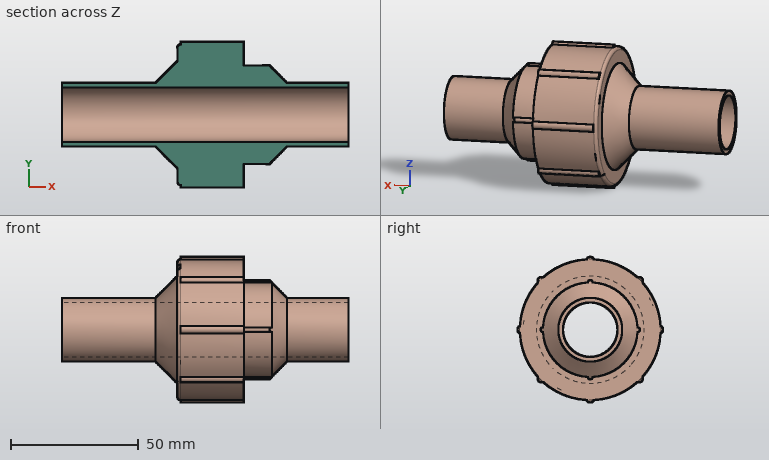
import cadquery as cq

total_length = 112.0
left_cone_start = 36.5
nut_start = 45.0
nut_end = 71.1
collar_end = 82.0
right_cone_end = 87.9

pipe_diameter = 25.0
bore_diameter = 21.2
nut_radius = 27.5
nut_edge_fillet = 1.3
collar_radius = 18.5
pipe_radius = pipe_diameter / 2
left_cone_radius = pipe_radius + (nut_start - left_cone_start)

nut_rib_count = 8
nut_rib_radius = 1.6
nut_rib_top = 28.5
collar_rib_count = 4
collar_rib_radius = 0.95
collar_rib_top = 19.4


def cylinder_x(start, end, radius):
    return cq.Workplane("YZ", origin=(start, 0, 0)).circle(radius).extrude(end - start)


def ribs(start, end, count, radius, top):
    """Round bars parallel to X, evenly spaced, with their crests at the given radius."""
    return (
        cq.Workplane("YZ", origin=(start, 0, 0))
        .polarArray(top - radius, 0, 360, count)
        .circle(radius)
        .extrude(end - start)
    )


body = (
    cq.Workplane("XY")
    .moveTo(0, 0)
    .lineTo(0, pipe_radius)
    .lineTo(left_cone_start, pipe_radius)
    .lineTo(nut_start, left_cone_radius)
    .lineTo(nut_end, collar_radius)
    .lineTo(collar_end, collar_radius)
    .lineTo(right_cone_end, pipe_radius)
    .lineTo(total_length, pipe_radius)
    .lineTo(total_length, 0)
    .close()
    .revolve(360, (0, 0, 0), (1, 0, 0))
)

nut = cylinder_x(nut_start, nut_end, nut_radius).faces("<X").edges().fillet(nut_edge_fillet)
nut_ribs = ribs(nut_start + nut_edge_fillet, nut_end, nut_rib_count, nut_rib_radius, nut_rib_top)

cone_slope = (collar_radius - pipe_radius) / (right_cone_end - collar_end)
rib_trim_start_radius = collar_radius + cone_slope * (collar_end - nut_end)
rib_trim = cq.Workplane("XY").add(
    cq.Solid.makeCone(
        rib_trim_start_radius,
        collar_radius,
        collar_end - nut_end,
        pnt=cq.Vector(nut_end, 0, 0),
        dir=cq.Vector(1, 0, 0),
    )
)
collar_ribs = ribs(
    nut_end, collar_end, collar_rib_count, collar_rib_radius, collar_rib_top
).intersect(rib_trim)

bore = cylinder_x(0, total_length, bore_diameter / 2)

body = body.union(nut).union(nut_ribs).union(collar_ribs).cut(bore)
result = body.translate((-total_length / 2, 0, 0))